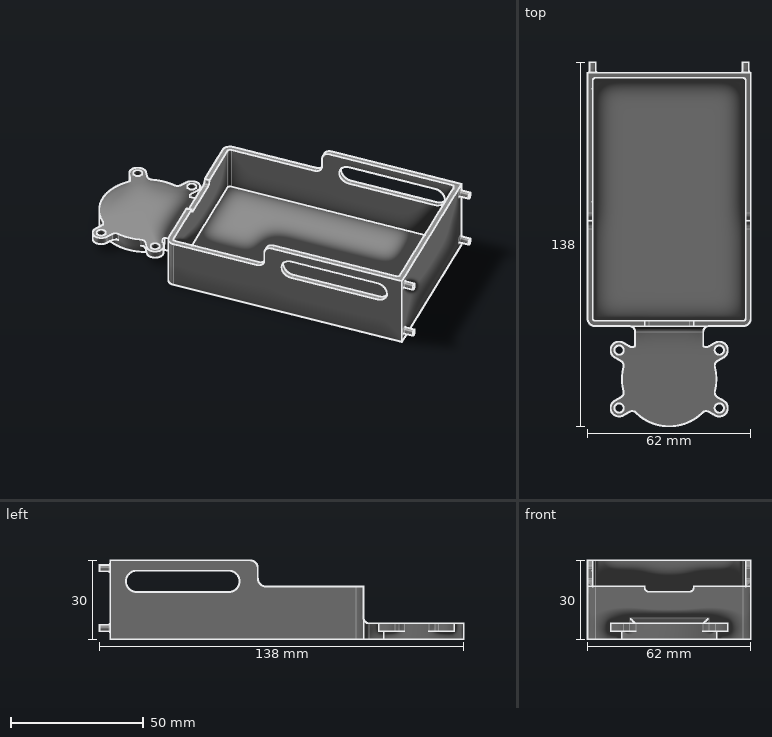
import cadquery as cq
import math

tray_width = 62.0
tray_length = 96.0
cavity_width = 58.0
wall = (tray_width - cavity_width) / 2
floor_thickness = wall
rear_height = 30.0
front_height = 20.0
raised_length = 56.0
step_radius = 3.0
front_corner_radius = 3.0
inner_corner_radius = front_corner_radius - wall

slot_length = 42.9
slot_height = 8.0
slot_rear_gap = 6.1
slot_top_gap = 4.0

notch_width = 18.6
notch_depth = wall
notch_corner_radius = 1.7

pin_length = 4.0
pin_diameter = 2.5
pin_spacing = cavity_width
pin_root_radius = 0.5
pin_heights = (4.3, 26.9)

plate_thickness = 6.1
disc_radius = 18.0
disc_distance = 20.0
neck_width = 26.0
flare_width = 30.0
neck_flare = (flare_width - neck_width) / 2

ear_thickness = 3.0
ear_spacing_x = 38.0
ear_spacing_y = 22.0
ear_width = 6.5
ear_radius = ear_width / 2
ear_hole_diameter = 3.5
ear_root_radius = neck_flare


def make_tray():
    step_y = tray_length - raised_length
    side_profile = (
        cq.Workplane("YZ")
        .moveTo(0, 0)
        .lineTo(tray_length, 0)
        .lineTo(tray_length, rear_height)
        .lineTo(step_y + step_radius, rear_height)
        .radiusArc((step_y, rear_height - step_radius), -step_radius)
        .lineTo(step_y, front_height + step_radius)
        .radiusArc((step_y - step_radius, front_height), step_radius)
        .lineTo(0, front_height)
        .close()
    )
    body = side_profile.extrude(tray_width / 2, both=True)
    body = body.edges("|Z and <Y").fillet(front_corner_radius)
    cavity = (
        cq.Workplane("XY", origin=(0, tray_length / 2, floor_thickness))
        .rect(cavity_width, tray_length - 2 * wall)
        .extrude(rear_height)
        .edges("|Z")
        .fillet(inner_corner_radius)
    )
    return body.cut(cavity)


def make_hand_slots():
    slot_y = tray_length - slot_rear_gap - slot_length / 2
    slot_z = rear_height - slot_top_gap - slot_height / 2
    return (
        cq.Workplane("YZ", origin=(0, slot_y, slot_z))
        .slot2D(slot_length, slot_height)
        .extrude(tray_width, both=True)
    )


def make_notch():
    return (
        cq.Workplane("XY", origin=(0, wall / 2, front_height))
        .box(notch_width, 2 * wall, 2 * notch_depth)
        .edges("|Y and <Z")
        .fillet(notch_corner_radius)
    )


def make_pin(x, z):
    radius = pin_diameter / 2
    return (
        cq.Workplane("XY", origin=(x, tray_length, z))
        .moveTo(0, -wall / 2)
        .lineTo(radius + pin_root_radius, -wall / 2)
        .lineTo(radius + pin_root_radius, 0)
        .radiusArc((radius, pin_root_radius), pin_root_radius)
        .lineTo(radius, pin_length)
        .lineTo(0, pin_length)
        .close()
        .revolve(360, (0, 0), (0, 1))
    )


def make_ear_layer():
    reach = math.hypot(ear_spacing_x, ear_spacing_y)
    angle = math.degrees(math.atan2(ear_spacing_y, ear_spacing_x))
    layer = cq.Workplane("XY").circle(disc_radius).extrude(ear_thickness)
    for arm_angle in (angle, -angle):
        arm_outline = cq.Workplane("XY").slot2D(reach + ear_width, ear_width, arm_angle)
        arm = arm_outline.extrude(ear_thickness)
        layer = layer.union(arm)
    root_zone = cq.selectors.BoxSelector(
        (-disc_radius, -disc_radius, 0), (disc_radius, disc_radius, ear_thickness)
    )
    layer = layer.edges("|Z").edges(root_zone).fillet(ear_root_radius)
    return layer.translate((0, -disc_distance, plate_thickness - ear_thickness))


def make_neck():
    return (
        cq.Workplane("XY", origin=(0, -disc_distance / 2, 0))
        .rect(neck_width, disc_distance)
        .extrude(plate_thickness)
    )


def make_neck_flare():
    half = neck_width / 2
    plan = (
        cq.Workplane("XY")
        .moveTo(-half - neck_flare, 0)
        .radiusArc((-half, -neck_flare), neck_flare)
        .lineTo(half, -neck_flare)
        .radiusArc((half + neck_flare, 0), neck_flare)
        .close()
        .extrude(plate_thickness + neck_flare)
    )
    side = (
        cq.Workplane("YZ")
        .moveTo(0, 0)
        .lineTo(-neck_flare, 0)
        .lineTo(-neck_flare, plate_thickness)
        .radiusArc((0, plate_thickness + neck_flare), -neck_flare)
        .close()
        .extrude(tray_width / 2, both=True)
    )
    return plan.intersect(side)


def make_mounting_plate():
    disc = cq.Workplane("XY").center(0, -disc_distance).circle(disc_radius).extrude(plate_thickness)
    holes = (
        cq.Workplane("XY", origin=(0, -disc_distance, 0))
        .rect(ear_spacing_x, ear_spacing_y, forConstruction=True)
        .vertices()
        .circle(ear_hole_diameter / 2)
        .extrude(plate_thickness)
    )
    return disc.union(make_ear_layer()).union(make_neck()).union(make_neck_flare()).cut(holes)


result = make_tray().cut(make_hand_slots()).cut(make_notch()).union(make_mounting_plate())
for x in (-pin_spacing / 2, pin_spacing / 2):
    for z in pin_heights:
        result = result.union(make_pin(x, z))